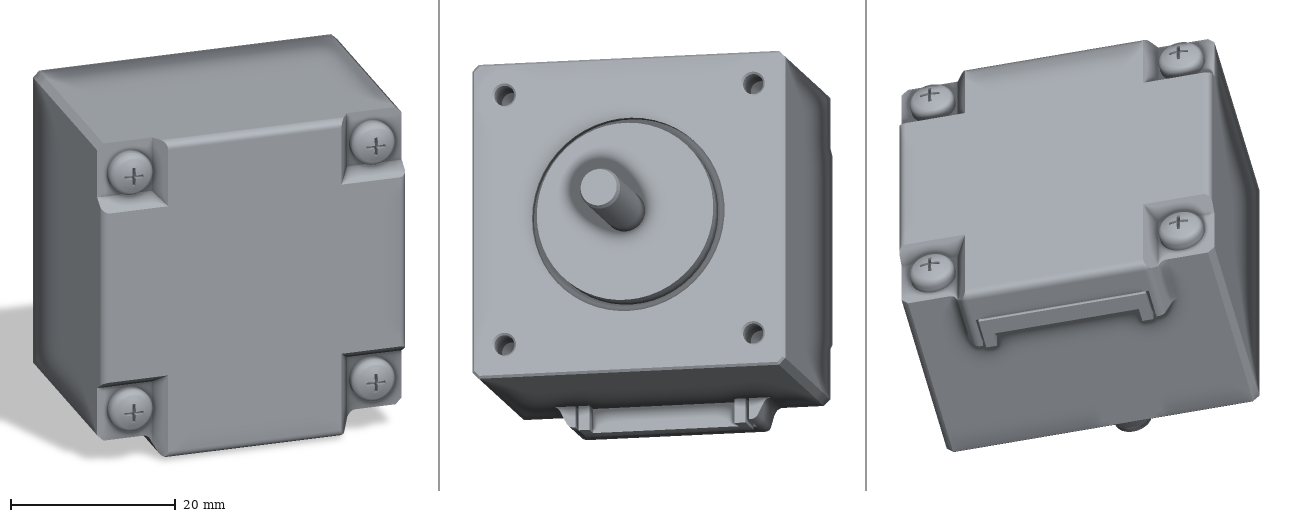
import cadquery as cq
import math


BODY_SIDE = 39.0
BODY_LENGTH = 27.2
CORNER_CHAMFER = 0.8
FRONT_CHAMFER = 0.3
REAR_FILLET = 1.0
HALF_SIDE = BODY_SIDE / 2

PILOT_DIAMETER = 22.0
PILOT_HEIGHT = 1.8
RING_DIAMETER = 24.0
RING_DEPTH = 1.0

SHAFT_DIAMETER = 5.0
SHAFT_LENGTH = 16.3
SHAFT_CHAMFER_LENGTH = 0.75
SHAFT_CHAMFER_HEIGHT = 0.25

PATTERN_OFFSET = 15.5
HOLE_DIAMETER = 2.5
HOLE_DEPTH = 4.5
HOLE_MOUTH_DIAMETER = 3.0
DRILL_POINT_ANGLE = 118.0

POCKET_DEPTH = 2.1
POCKET_FLOOR_EDGE = 12.5
POCKET_MOUTH_EDGE = 11.1

HEAD_RADIUS = 2.75
HEAD_HEIGHT = 2.29
HEAD_EDGE_RADIUS = 1.0
HEAD_RIM_HEIGHT = 0.85
CROSS_LENGTH = 2.4
CROSS_WIDTH = 0.4
CROSS_DEPTH = 1.0

COVER_START = 18.6
HOUSING_DROP = 2.6
HOUSING_FLANK_ANGLE = math.radians(63.0)
HOUSING_BEND_RADIUS = 1.0
HOUSING_HALF_WIDTH = 13.6

CONNECTOR_WIDTH = 20.8
CONNECTOR_LENGTH = 4.3
CONNECTOR_DROP = 3.0
CONNECTOR_GAP = 0.4
SOCKET_WIDTH = 18.1
SOCKET_DEPTH = 2.0

PATTERN_POINTS = [(y * PATTERN_OFFSET, z * PATTERN_OFFSET) for y in (-1, 1) for z in (-1, 1)]


def rod(diameter, start, end):
    """Cylinder on the X axis between two X positions."""
    return cq.Workplane("YZ", origin=(start, 0, 0)).circle(diameter / 2).extrude(end - start)


def block(start, length, width, bottom, top):
    """Box centred on Y = 0, running toward +X from start."""
    box = cq.Workplane("XY").box(length, width, top - bottom, centered=(False, True, False))
    return box.translate((start, 0, bottom))


def make_body():
    body = block(0, BODY_LENGTH, BODY_SIDE, -HALF_SIDE, HALF_SIDE)
    body = body.edges("|X").chamfer(CORNER_CHAMFER)
    return body.faces("<X").edges().chamfer(FRONT_CHAMFER)


def make_housing():
    """Tray under the cover, with S-shaped flanks tangent to the body and to the tray floor."""
    sine = math.sin(HOUSING_FLANK_ANGLE)
    cosine = math.cos(HOUSING_FLANK_ANGLE)
    half_sine = math.sin(HOUSING_FLANK_ANGLE / 2)
    half_cosine = math.cos(HOUSING_FLANK_ANGLE / 2)
    radius = HOUSING_BEND_RADIUS
    top = -HALF_SIDE
    floor = top - HOUSING_DROP

    bend_run = radius * sine
    bend_drop = radius * (1 - cosine)
    flank_run = (HOUSING_DROP - 2 * bend_drop) / math.tan(HOUSING_FLANK_ANGLE)
    upper_y = HOUSING_HALF_WIDTH - bend_run
    lower_y = upper_y - flank_run
    floor_y = lower_y - bend_run

    upper_mid = (HOUSING_HALF_WIDTH - radius * half_sine, top - radius * (1 - half_cosine))
    lower_mid = (floor_y + radius * half_sine, floor + radius * (1 - half_cosine))
    half = (
        cq.Workplane("YZ", origin=(COVER_START, 0, 0))
        .moveTo(0, top + REAR_FILLET)
        .lineTo(HOUSING_HALF_WIDTH, top + REAR_FILLET)
        .lineTo(HOUSING_HALF_WIDTH, top)
        .threePointArc(upper_mid, (upper_y, top - bend_drop))
        .lineTo(lower_y, floor + bend_drop)
        .threePointArc(lower_mid, (floor_y, floor))
        .lineTo(0, floor)
        .close()
        .extrude(BODY_LENGTH - COVER_START)
    )
    return half.union(half.mirror("XZ"))


def make_corner_pocket():
    """Cutter for the rear corner at +Y +Z; both inner walls lean back toward the motor axis."""
    outer = HALF_SIDE + HOUSING_DROP
    floor_x = BODY_LENGTH - POCKET_DEPTH
    slope = (POCKET_FLOOR_EDGE - POCKET_MOUTH_EDGE) / POCKET_DEPTH
    height = 2 * POCKET_DEPTH
    mouth_edge = POCKET_FLOOR_EDGE - slope * height

    def profile(plane):
        return (
            cq.Workplane(plane)
            .moveTo(floor_x, POCKET_FLOOR_EDGE)
            .lineTo(floor_x + height, mouth_edge)
            .lineTo(floor_x + height, outer)
            .lineTo(floor_x, outer)
            .close()
        )

    along_y = profile("XZ").extrude(-outer)
    along_z = profile("XY").extrude(outer)
    return along_y.intersect(along_z)


def make_mounting_hole():
    """Countersunk blind hole with a drill point, on the X axis."""
    radius = HOLE_DIAMETER / 2
    mouth = HOLE_MOUTH_DIAMETER / 2
    tip = HOLE_DEPTH + radius / math.tan(math.radians(DRILL_POINT_ANGLE / 2))
    return (
        cq.Workplane("XY")
        .polyline([(0, 0), (0, mouth), (mouth - radius, radius), (HOLE_DEPTH, radius), (tip, 0)])
        .close()
        .revolve(360, (0, 0, 0), (1, 0, 0))
    )


def make_screw_head():
    """Domed head standing on X = 0, with smoothly joined rim, edge and dome and a cross recess."""
    arc_centre = HEAD_RADIUS - HEAD_EDGE_RADIUS
    dome_height = HEAD_HEIGHT - HEAD_RIM_HEIGHT
    squares = arc_centre**2 + dome_height**2 - HEAD_EDGE_RADIUS**2
    dome_radius = squares / (2 * (dome_height - HEAD_EDGE_RADIUS))
    dome_centre = HEAD_HEIGHT - dome_radius
    dome_angle = math.asin(arc_centre / (dome_radius - HEAD_EDGE_RADIUS))

    def edge_point(angle):
        radial = arc_centre + HEAD_EDGE_RADIUS * math.sin(angle)
        return (HEAD_RIM_HEIGHT + HEAD_EDGE_RADIUS * math.cos(angle), radial)

    def dome_point(angle):
        return (dome_centre + dome_radius * math.cos(angle), dome_radius * math.sin(angle))

    head = (
        cq.Workplane("XY")
        .lineTo(0, HEAD_RADIUS)
        .lineTo(HEAD_RIM_HEIGHT, HEAD_RADIUS)
        .threePointArc(edge_point((dome_angle + math.pi / 2) / 2), edge_point(dome_angle))
        .threePointArc(dome_point(dome_angle / 2), (HEAD_HEIGHT, 0))
        .close()
        .revolve(360, (0, 0, 0), (1, 0, 0))
    )
    cross_start = HEAD_HEIGHT - CROSS_DEPTH
    arm_y = block(cross_start, CROSS_DEPTH, CROSS_LENGTH, -CROSS_WIDTH / 2, CROSS_WIDTH / 2)
    arm_z = block(cross_start, CROSS_DEPTH, CROSS_WIDTH, -CROSS_LENGTH / 2, CROSS_LENGTH / 2)
    return head.cut(arm_y).cut(arm_z)


def make_connector():
    bottom = -HALF_SIDE - CONNECTOR_DROP
    connector = block(COVER_START, CONNECTOR_LENGTH, CONNECTOR_WIDTH, bottom, -HALF_SIDE)
    return connector.cut(block(COVER_START, SOCKET_DEPTH, SOCKET_WIDTH, bottom, -HALF_SIDE))


def make_connector_bay():
    width = CONNECTOR_WIDTH + 2 * CONNECTOR_GAP
    return block(COVER_START, CONNECTOR_LENGTH, width, -HALF_SIDE - HOUSING_DROP, -HALF_SIDE)


def make_shaft():
    radius = SHAFT_DIAMETER / 2
    tip = -SHAFT_LENGTH
    return (
        cq.Workplane("XY")
        .moveTo(tip, 0)
        .lineTo(tip, radius - SHAFT_CHAMFER_HEIGHT)
        .lineTo(tip + SHAFT_CHAMFER_LENGTH, radius)
        .lineTo(RING_DEPTH, radius)
        .lineTo(RING_DEPTH, 0)
        .close()
        .revolve(360, (0, 0, 0), (1, 0, 0))
    )


motor = make_body().union(make_housing()).clean()
motor = motor.faces(">X").edges().fillet(REAR_FILLET)

motor = motor.cut(make_connector_bay()).union(make_connector())

motor = motor.cut(rod(RING_DIAMETER, 0, RING_DEPTH))
motor = motor.union(rod(PILOT_DIAMETER, -PILOT_HEIGHT, RING_DEPTH)).union(make_shaft())

pocket = make_corner_pocket()
for corner in (pocket, pocket.mirror("XZ")):
    motor = motor.cut(corner).cut(corner.mirror("XY"))

hole = make_mounting_hole()
screw_head = make_screw_head()
for y, z in PATTERN_POINTS:
    motor = motor.cut(hole.translate((0, y, z)))
    motor = motor.union(screw_head.translate((BODY_LENGTH - POCKET_DEPTH, y, z)))

result = motor